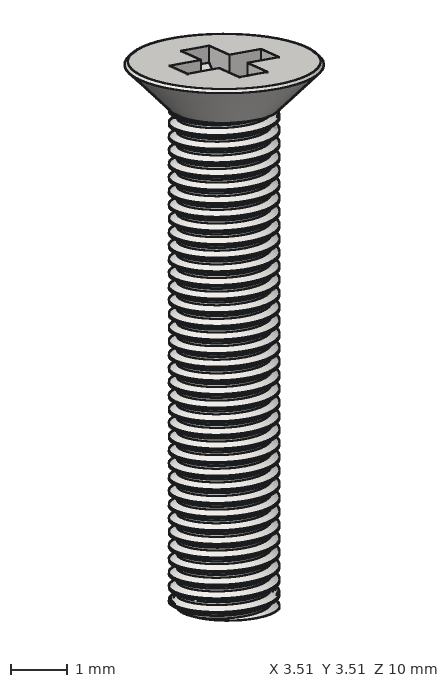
import cadquery as cq
import math

total_length = 10.0
head_diameter = 3.51
major_diameter = 1.95
minor_diameter = 1.66

rim_bevel = 0.06
cone_height = (head_diameter - major_diameter) / 2
shank_length = total_length - rim_bevel - cone_height

pitch = 0.25
crest_width = pitch / 8
flank_half_angle = math.radians(30)
crest_height_at_x = 0.2
root_overlap = 0.03

slot_width = 0.59
slot_length = 1.91
floor_length = 0.68
slot_wall_height = 0.31
recess_depth = slot_wall_height + (slot_length - floor_length) / 2


def make_head():
    head_radius = head_diameter / 2
    profile = [
        (0, shank_length),
        (major_diameter / 2, shank_length),
        (head_radius, total_length - rim_bevel),
        (head_radius - rim_bevel, total_length),
        (0, total_length),
    ]
    return cq.Workplane("XZ").polyline(profile).close().revolve(360, (0, 0), (0, 1))


def make_thread_ridge():
    """Helical ridge that runs past both ends of the shank, then is trimmed flush with them."""
    crest_radius = major_diameter / 2
    base_radius = minor_diameter / 2 - root_overlap
    half_crest = crest_width / 2
    half_base = half_crest + (crest_radius - base_radius) * math.tan(flank_half_angle)
    start = crest_height_at_x - 2 * pitch
    turns = math.ceil((shank_length - start) / pitch) + 1

    corners = [
        (base_radius, -half_base),
        (crest_radius, -half_crest),
        (crest_radius, half_crest),
        (base_radius, half_base),
    ]
    helices = [
        cq.Wire.makeHelix(pitch, turns * pitch, radius, center=cq.Vector(0, 0, start + offset))
        for radius, offset in corners
    ]

    faces = [
        cq.Face.makeRuledSurface(helices[i], helices[(i + 1) % len(helices)])
        for i in range(len(helices))
    ]
    for end_points in (
        [helix.startPoint() for helix in helices],
        [helix.endPoint() for helix in helices],
    ):
        faces.append(cq.Face.makeFromWires(cq.Wire.makePolygon(end_points, close=True)))
    ridge = cq.Solid.makeSolid(cq.Shell.makeShell(faces))

    envelope = cq.Workplane("XY").circle(major_diameter).extrude(shank_length)
    return envelope.intersect(cq.Workplane(ridge))


def make_slot():
    """One slot of the cross along X, each end a short wall sloping in to the floor."""
    slope_top_z = total_length - slot_wall_height
    floor_z = total_length - recess_depth
    profile = [
        (-slot_length / 2, total_length),
        (-slot_length / 2, slope_top_z),
        (-floor_length / 2, floor_z),
        (floor_length / 2, floor_z),
        (slot_length / 2, slope_top_z),
        (slot_length / 2, total_length),
    ]
    return cq.Workplane("XZ").polyline(profile).close().extrude(slot_width / 2, both=True)


core = cq.Workplane("XY").circle(minor_diameter / 2).extrude(shank_length)
result = core.union(make_thread_ridge()).union(make_head())
for slot_angle in (0, 90):
    result = result.cut(make_slot().rotate((0, 0, 0), (0, 0, 1), slot_angle))